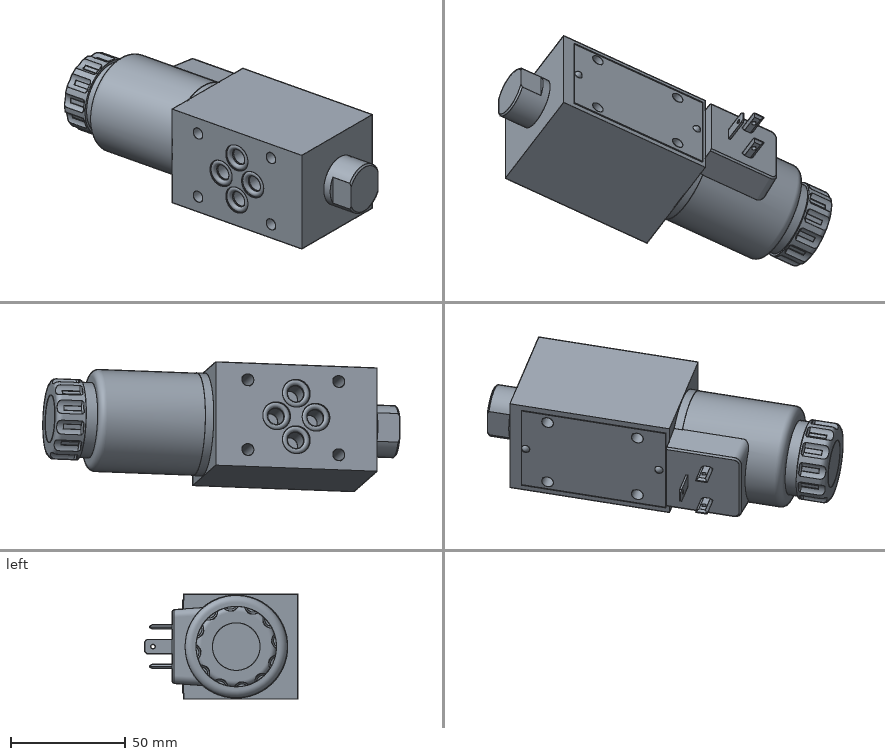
import cadquery as cq
import math


BLOCK_LENGTH = 72.0
BLOCK_HEIGHT = 46.0
BLOCK_DEPTH = 50.0
PORT_FACE_Y = -27.0
BLOCK_BACK_Y = PORT_FACE_Y + BLOCK_DEPTH

BOLT_HOLE_DIAMETER = 5.2
BOLT_FIRST_X = 14.3
BOLT_SPACING_X = 40.6
BOLT_SPACING_Z_NEAR = 31.0
BOLT_SPACING_Z_FAR = 32.5
PORT_FROM_FIRST_BOLT_X = 21.6
PORT_CENTER_X = BOLT_FIRST_X + PORT_FROM_FIRST_BOLT_X
PORT_OFFSET_X = 8.8
PORT_OFFSET_Z = 10.3
PORT_POSITIONS = [
    (PORT_CENTER_X - PORT_OFFSET_X, 0),
    (PORT_CENTER_X + PORT_OFFSET_X, 0),
    (PORT_CENTER_X, -PORT_OFFSET_Z),
    (PORT_CENTER_X, PORT_OFFSET_Z),
]

RING_OUTER_DIAMETER = 12.3
RING_THICKNESS = 2.5
PORT_DIAMETER = RING_OUTER_DIAMETER - 2 * RING_THICKNESS
PORT_DEPTH = 15.5

COIL_LENGTH = 50.6
COIL_RADIUS = 22.4
COIL_END_FILLET = 3.1
COIL_FLANGE_RADIUS = 22.5
COIL_FLANGE_LENGTH = 3.7

COLLAR_LENGTH = 5.2
COLLAR_RADIUS = 16.5
KNOB_LENGTH = 12.7
KNOB_RADIUS = 17.6
KNOB_FILLET = 2.3
KNOB_END_X = -(COIL_LENGTH + COLLAR_LENGTH + KNOB_LENGTH)
KNOB_RECESS_DIAMETER = 20.8
KNOB_RECESS_DEPTH = 0.2
FLUTE_COUNT = 12
FLUTE_START_ANGLE = 22.4
FLUTE_DEPTH = 1.9
FLUTE_WIDTH = 6.6
FLUTE_LENGTH = 11.7
FLUTE_END_BEVEL = 0.8
SLOT_WIDTH = 2.2
SLOT_DEPTH = 0.23
SLOT_START = 3.1
SLOT_END = 11.0

PLUG_LENGTH = 13.7
PLUG_RADIUS = 11.4
PLUG_CHAMFER = 0.8
PLUG_FLATS_WIDTH = 19.0
PLUG_FLATS_START = 3.5

CONNECTOR_TOP_Y = 28.1
CONNECTOR_TOP_LENGTH = 33.6
CONNECTOR_TOP_WIDTH = 32.2
CONNECTOR_CORNER_RADIUS = 3.4
CONNECTOR_DRAFT = 4.0
CONNECTOR_EDGE = 0.8

BLADE_HOLE_DIAMETER = 1.9
EARTH_BLADE_X = -9.3
EARTH_BLADE_TIP_Y = 40.1
EARTH_BLADE_WIDTH = 6.3
EARTH_BLADE_THICKNESS = 1.0
EARTH_BLADE_TIP_BEVEL = 1.1
EARTH_BLADE_TIP_THICKNESS = 0.5
EARTH_BLADE_HOLE_Y = 36.4
SIDE_BLADE_X = -18.4
SIDE_BLADE_Z = 8.6
SIDE_BLADE_TIP_Y = 38.0
SIDE_BLADE_WIDTH = 5.2
SIDE_BLADE_FLAT = 3.0
SIDE_BLADE_THICKNESS = 2.0
SIDE_BLADE_TIP_BEVEL = 1.2
SIDE_BLADE_TIP_THICKNESS = 0.5
SIDE_BLADE_HOLE_Y = 33.6

PLATE_START_X = 1.5
PLATE_LENGTH = 65.3
PLATE_WIDTH = 40.7
PLATE_THICKNESS = 0.5
RIVET_POSITIONS_X = [4.6, 64.8]
RIVET_DIAMETER = 3.7
RIVET_HEIGHT = 1.4


def axial_cylinder(start_x, length, radius):
    """Cylinder on the coil axis, from start_x toward +X."""
    return cq.Workplane("YZ", origin=(start_x, 0, 0)).circle(radius).extrude(length)


def make_block():
    return cq.Workplane("XY").box(
        BLOCK_LENGTH, BLOCK_DEPTH, BLOCK_HEIGHT, centered=(False, False, True)
    ).translate((0, PORT_FACE_Y, 0))


def make_coil():
    coil = axial_cylinder(-COIL_LENGTH, COIL_LENGTH, COIL_RADIUS)
    coil = coil.faces("<X").edges().fillet(COIL_END_FILLET)
    flange = axial_cylinder(-COIL_FLANGE_LENGTH, COIL_FLANGE_LENGTH, COIL_FLANGE_RADIUS)
    return coil.union(flange)


def make_flute_cutter():
    """Rounded flute with a shallow flat slot in its floor, pointing along +Y."""
    floor_radius = KNOB_RADIUS - FLUTE_DEPTH
    half_width = FLUTE_WIDTH / 2
    arc_radius = (half_width**2 + FLUTE_DEPTH**2) / (2 * FLUTE_DEPTH)
    flute = (
        cq.Workplane("YZ", origin=(KNOB_END_X, 0, 0))
        .center(floor_radius + arc_radius, 0)
        .circle(arc_radius)
        .extrude(FLUTE_LENGTH)
        .faces(">X")
        .chamfer(FLUTE_END_BEVEL)
    )
    slot = cq.Workplane("XY").box(
        SLOT_END - SLOT_START, FLUTE_DEPTH, SLOT_WIDTH, centered=(False, False, True)
    ).translate((KNOB_END_X + SLOT_START, floor_radius - SLOT_DEPTH, 0))
    return flute.union(slot)


def make_knob():
    knob = axial_cylinder(KNOB_END_X, KNOB_LENGTH, KNOB_RADIUS)
    knob = knob.faces("<X").edges().fillet(KNOB_FILLET)
    cutter = make_flute_cutter()
    for index in range(FLUTE_COUNT):
        angle = FLUTE_START_ANGLE + index * 360 / FLUTE_COUNT
        knob = knob.cut(cutter.rotate((0, 0, 0), (1, 0, 0), angle))
    recess = axial_cylinder(KNOB_END_X, KNOB_RECESS_DEPTH, KNOB_RECESS_DIAMETER / 2)
    return knob.cut(recess)


def make_collar():
    return axial_cylinder(-COIL_LENGTH - COLLAR_LENGTH, COLLAR_LENGTH, COLLAR_RADIUS)


def make_plug():
    plug = axial_cylinder(BLOCK_LENGTH, PLUG_LENGTH, PLUG_RADIUS)
    plug = plug.faces(">X").edges().chamfer(PLUG_CHAMFER)
    flats = cq.Workplane("XY").box(
        PLUG_LENGTH - PLUG_FLATS_START, PLUG_FLATS_WIDTH, 2 * PLUG_RADIUS, centered=(False, True, True)
    ).translate((BLOCK_LENGTH + PLUG_FLATS_START, 0, 0))
    shoulder = axial_cylinder(BLOCK_LENGTH, PLUG_FLATS_START, PLUG_RADIUS)
    return plug.intersect(flats.union(shoulder))


def make_connector():
    """Drafted housing that widens from its top face down to the coil axis."""
    flare = CONNECTOR_TOP_Y * math.tan(math.radians(CONNECTOR_DRAFT))
    base_length = CONNECTOR_TOP_LENGTH + flare
    base_width = CONNECTOR_TOP_WIDTH + 2 * flare
    housing = (
        cq.Workplane("ZX")
        .rect(base_width, 2 * base_length)
        .extrude(CONNECTOR_TOP_Y, taper=CONNECTOR_DRAFT)
        .edges("not #Y")
        .fillet(CONNECTOR_CORNER_RADIUS)
        .faces(">Y")
        .chamfer(CONNECTOR_EDGE)
    )
    coil_side = cq.Workplane("XY").box(
        base_length, 2 * CONNECTOR_TOP_Y, base_width, centered=(False, True, True)
    ).translate((-base_length, 0, 0))
    return housing.intersect(coil_side)


def tip_outline(plane, width, tip_width, tip_y, bevel):
    """Outline of a blade along Y whose end narrows from width to tip_width."""
    return (
        cq.Workplane(plane)
        .moveTo(-width / 2, 0)
        .lineTo(-width / 2, tip_y - bevel)
        .lineTo(-tip_width / 2, tip_y)
        .lineTo(tip_width / 2, tip_y)
        .lineTo(width / 2, tip_y - bevel)
        .lineTo(width / 2, 0)
        .close()
    )


def make_earth_blade():
    """Flat blade, wide along Z, bevelled on all four sides of its tip."""
    side = tip_outline(
        "ZY",
        EARTH_BLADE_WIDTH,
        EARTH_BLADE_WIDTH - 2 * EARTH_BLADE_TIP_BEVEL,
        EARTH_BLADE_TIP_Y,
        EARTH_BLADE_TIP_BEVEL,
    ).extrude(EARTH_BLADE_THICKNESS / 2, both=True)
    edge = tip_outline(
        "XY",
        EARTH_BLADE_THICKNESS,
        EARTH_BLADE_TIP_THICKNESS,
        EARTH_BLADE_TIP_Y,
        EARTH_BLADE_TIP_BEVEL,
    ).extrude(EARTH_BLADE_WIDTH / 2, both=True)
    hole = (
        cq.Workplane("YZ")
        .center(EARTH_BLADE_HOLE_Y, 0)
        .circle(BLADE_HOLE_DIAMETER / 2)
        .extrude(EARTH_BLADE_THICKNESS, both=True)
    )
    return side.intersect(edge).cut(hole).translate((EARTH_BLADE_X, 0, 0))


def make_side_blade():
    """Blade, wide along X, with a six-sided section and a thinned tip."""
    half_width = SIDE_BLADE_WIDTH / 2
    half_flat = SIDE_BLADE_FLAT / 2
    half_thickness = SIDE_BLADE_THICKNESS / 2
    section = (
        cq.Workplane("ZX")
        .polyline([
            (0, -half_width),
            (half_thickness, -half_flat),
            (half_thickness, half_flat),
            (0, half_width),
            (-half_thickness, half_flat),
            (-half_thickness, -half_flat),
        ])
        .close()
        .extrude(SIDE_BLADE_TIP_Y)
    )
    tip = tip_outline(
        "ZY", SIDE_BLADE_THICKNESS, SIDE_BLADE_TIP_THICKNESS, SIDE_BLADE_TIP_Y, SIDE_BLADE_TIP_BEVEL
    ).extrude(half_width, both=True)
    hole = (
        cq.Workplane("XY")
        .center(0, SIDE_BLADE_HOLE_Y)
        .circle(BLADE_HOLE_DIAMETER / 2)
        .extrude(SIDE_BLADE_THICKNESS, both=True)
    )
    return section.intersect(tip).cut(hole).translate((SIDE_BLADE_X, 0, 0))


def make_name_plate():
    """Thin plate on the back of the block with two domed rivets."""
    plate = cq.Workplane("XY").box(
        PLATE_LENGTH, PLATE_THICKNESS, PLATE_WIDTH, centered=(False, False, True)
    ).translate((PLATE_START_X, BLOCK_BACK_Y, 0))
    rivet_radius = RIVET_DIAMETER / 2
    dome_radius = (rivet_radius**2 + RIVET_HEIGHT**2) / (2 * RIVET_HEIGHT)
    plate_top_y = BLOCK_BACK_Y + PLATE_THICKNESS
    for rivet_x in RIVET_POSITIONS_X:
        dome = (
            cq.Workplane("XY", origin=(rivet_x, plate_top_y, 0))
            .moveTo(0, 0)
            .lineTo(rivet_radius, 0)
            .radiusArc((0, RIVET_HEIGHT), -dome_radius)
            .close()
            .revolve(360, (0, 0, 0), (0, 1, 0))
        )
        plate = plate.union(dome)
    return plate


def port_face_cylinders(points, diameter, depth):
    """Cylinders that start on the port face at (X, Z) points and run toward +Y."""
    return (
        cq.Workplane("XZ", origin=(0, PORT_FACE_Y, 0))
        .pushPoints(points)
        .circle(diameter / 2)
        .extrude(-depth)
    )


def make_bolt_holes():
    far_x = BOLT_FIRST_X + BOLT_SPACING_X
    points = []
    for side in (-1, 1):
        points.append((BOLT_FIRST_X, side * BOLT_SPACING_Z_NEAR / 2))
        points.append((far_x, side * BOLT_SPACING_Z_FAR / 2))
    return port_face_cylinders(points, BOLT_HOLE_DIAMETER, BLOCK_DEPTH + PLATE_THICKNESS)


def make_valve():
    """Block, coil, knob, plug, connector and name plate as one solid."""
    valve = make_block().union(make_coil()).union(make_collar()).union(make_knob())
    valve = valve.union(make_plug()).union(make_connector()).union(make_earth_blade())
    side_blade = make_side_blade()
    for side in (-1, 1):
        valve = valve.union(side_blade.translate((0, 0, side * SIDE_BLADE_Z)))
    valve = valve.union(make_name_plate()).cut(make_bolt_holes())
    valve = valve.cut(port_face_cylinders(PORT_POSITIONS, RING_OUTER_DIAMETER, RING_THICKNESS))
    return valve.cut(port_face_cylinders(PORT_POSITIONS, PORT_DIAMETER, PORT_DEPTH))


def make_sealing_ring(center_x, center_z):
    """Round-section ring whose front is flush with the port face."""
    tube_radius = RING_THICKNESS / 2
    torus = cq.Solid.makeTorus(
        RING_OUTER_DIAMETER / 2 - tube_radius,
        tube_radius,
        cq.Vector(center_x, PORT_FACE_Y + tube_radius, center_z),
        cq.Vector(0, 1, 0),
    )
    return cq.Workplane("XY").add(torus)


valve = make_valve()
sealing_rings = [make_sealing_ring(x, z) for x, z in PORT_POSITIONS]
result = cq.Compound.makeCompound([valve.val(), *[ring.val() for ring in sealing_rings]])